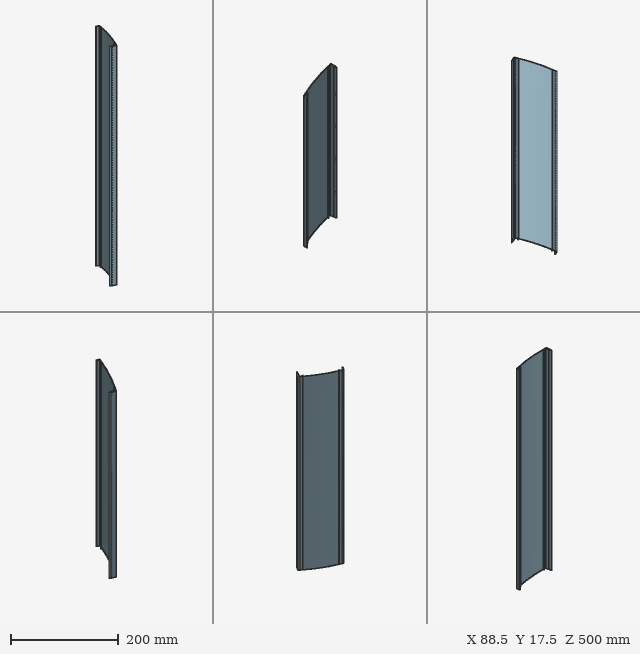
import cadquery as cq

length = 500.0
width = 88.5
depth = 17.5

bow_rise = 3.0
web_thickness = 1.5
web_edge = depth - bow_rise

short_leg_thickness = 3.0
short_leg_bottom = 6.5
short_leg_chamfer = 1.0

long_leg_thickness = 3.5
tip_width = 0.5
tip_offset = 1.5
tip_step_width = 1.0
tip_step_top = 6.5
tip_step_bottom = 6.0
inner_taper_start = 2.0
outer_taper_start = 3.5

edge_bevel = 1.0

rib_inset = 9.0
rib_width = 1.5
rib_bottom = 12.0
rib_top = web_edge + web_thickness / 2

gusset_size = 1.0

half_width = width / 2
web_underside = web_edge - web_thickness


def extrude_outline(outline):
    return outline.close().extrude(length)


def bowed_web():
    return extrude_outline(
        cq.Workplane("XY")
        .moveTo(-half_width, web_edge)
        .threePointArc((0, depth), (half_width, web_edge))
        .lineTo(half_width, web_underside)
        .threePointArc((0, depth - web_thickness), (-half_width, web_underside))
    )


def short_leg():
    outer = -half_width
    inner = outer + short_leg_thickness
    chamfer_top = short_leg_bottom + short_leg_chamfer
    return extrude_outline(
        cq.Workplane("XY")
        .moveTo(outer, web_edge)
        .lineTo(outer, chamfer_top)
        .lineTo(outer + short_leg_chamfer, short_leg_bottom)
        .lineTo(inner - short_leg_chamfer, short_leg_bottom)
        .lineTo(inner, chamfer_top)
        .lineTo(inner, web_underside - gusset_size / 2)
        .lineTo(inner + gusset_size, web_underside)
        .lineTo(inner + gusset_size, web_edge)
    )


def long_leg():
    outer = half_width
    inner = outer - long_leg_thickness
    tip_outer = outer - tip_offset
    return extrude_outline(
        cq.Workplane("XY")
        .moveTo(outer, web_edge)
        .lineTo(outer, outer_taper_start)
        .lineTo(tip_outer, 0)
        .lineTo(tip_outer - tip_width, 0)
        .lineTo(inner + tip_step_width, inner_taper_start)
        .lineTo(inner + tip_step_width, tip_step_bottom)
        .lineTo(inner, tip_step_top)
        .lineTo(inner, web_underside - gusset_size / 2)
        .lineTo(inner - gusset_size, web_underside)
        .lineTo(inner - gusset_size, web_edge)
    )


def web_rib(side):
    rib_center = side * (half_width - rib_inset - rib_width / 2)
    return (
        cq.Workplane("XY")
        .center(rib_center, (rib_top + rib_bottom) / 2)
        .rect(rib_width, rib_top - rib_bottom)
        .extrude(length)
    )


def outer_edge_bevel(side):
    edge_x = side * half_width
    return extrude_outline(
        cq.Workplane("XY")
        .moveTo(edge_x, web_edge - edge_bevel)
        .lineTo(edge_x, depth)
        .lineTo(edge_x - side * edge_bevel, depth)
        .lineTo(edge_x - side * edge_bevel, web_edge)
    )


result = bowed_web().union(short_leg()).union(long_leg())
for side in (-1, 1):
    result = result.union(web_rib(side)).cut(outer_edge_bevel(side))